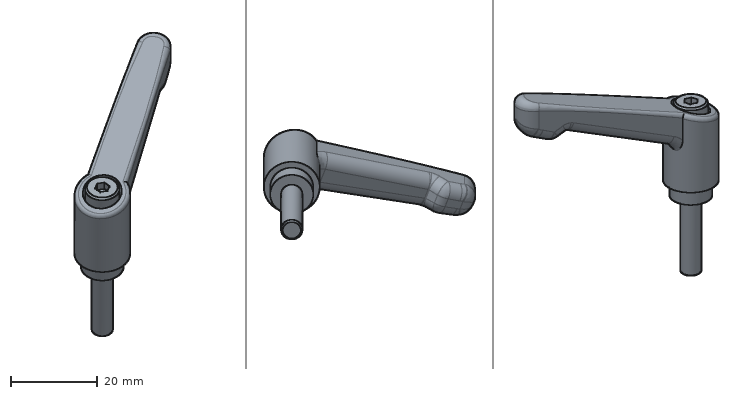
import cadquery as cq
import math


hub_radius = 6.5
hub_top_height = 19.2
top_slope = math.radians(15.4)
hub_edge_fillet = 1.0

arm_reach = 45.0
tip_radius = 4.0
arm_taper = math.radians(1.25)
root_top_fillet = 1.05
tip_side_top_fillet = 1.5
tip_end_top_fillet = 1.9
arm_bottom_fillet = 3.0
edge_tolerance = 0.01

grip_slope = math.radians(21.0)
underside_slope = math.radians(19.45)
grip_nose_radius = 3.1
grip_nose_y = 37.0
grip_nose_z = 22.8
grip_back_slope = math.radians(29.0)
valley_y = 33.3
valley_radius = 0.3
tip_underside_radius = 5.0
root_y = 5.9
root_radius = 2.5
root_bottom = 8.0

insert_radius = 5.0
collar_height = 4.0
insert_depth = 9.0
stud_radius = 2.5
stud_length = 20.0
stud_chamfer = 0.4

head_radius = 4.0
head_top = 20.6
head_edge_chamfer = 0.45
shank_radius = 2.0
shank_engagement = 6.0
hex_across_flats = 3.0
hex_depth = 2.0
head_bore_radius = 4.5
head_seat = 11.0


def top_plane_z(y):
    """Height of the sloped top plane of the lever."""
    return hub_top_height + y * math.tan(top_slope)


def make_hub():
    """Upright cylinder with a sloped, rounded top."""
    blank_height = top_plane_z(hub_radius) + hub_edge_fillet
    blank = cq.Workplane("XY").circle(hub_radius).extrude(blank_height)
    above_top = (
        cq.Workplane("YZ")
        .polyline([
            (-hub_radius, top_plane_z(-hub_radius)),
            (hub_radius, top_plane_z(hub_radius)),
            (hub_radius, blank_height),
            (-hub_radius, blank_height),
        ])
        .close()
        .extrude(hub_radius, both=True)
    )
    return blank.cut(above_top).faces(">Z").edges().fillet(hub_edge_fillet)


def arc_point(center, radius, angle):
    """Point on an arc in the YZ plane, with the angle taken from -Z towards +Y."""
    return (center[0] + radius * math.sin(angle), center[1] - radius * math.cos(angle))


def make_arm_side_shape():
    """Side outline of the arm, extruded across its width."""
    nose = (grip_nose_y, grip_nose_z)
    nose_front = arc_point(nose, grip_nose_radius, grip_slope)
    nose_mid = arc_point(nose, grip_nose_radius, (grip_slope - grip_back_slope) / 2)
    nose_back = arc_point(nose, grip_nose_radius, -grip_back_slope)
    valley_z = nose_back[1] + (nose_back[0] - valley_y) * math.tan(grip_back_slope)

    round_y = arm_reach - tip_underside_radius
    grip_end_y = round_y + tip_underside_radius * math.sin(grip_slope)
    grip_end_z = nose_front[1] + (grip_end_y - nose_front[0]) * math.tan(grip_slope)
    tip_round = (round_y, grip_end_z + tip_underside_radius * math.cos(grip_slope))
    tip_mid = arc_point(tip_round, tip_underside_radius, (grip_slope + math.pi / 2) / 2)

    root_center_y = root_y + root_radius
    root_start_y = root_center_y - root_radius * math.sin(underside_slope)
    root_start_z = valley_z - (valley_y - root_start_y) * math.tan(underside_slope)
    root_center_z = root_start_z - root_radius * math.cos(underside_slope)
    root_mid_angle = (underside_slope + math.pi / 2) / 2
    root_mid = (
        root_center_y - root_radius * math.sin(root_mid_angle),
        root_center_z + root_radius * math.cos(root_mid_angle),
    )

    side_shape = (
        cq.Workplane("YZ")
        .moveTo(0, top_plane_z(0))
        .lineTo(arm_reach, top_plane_z(arm_reach))
        .lineTo(arm_reach, tip_round[1])
        .threePointArc(tip_mid, (grip_end_y, grip_end_z))
        .lineTo(*nose_front)
        .threePointArc(nose_mid, nose_back)
        .lineTo(valley_y, valley_z)
        .lineTo(root_start_y, root_start_z)
        .threePointArc(root_mid, (root_y, root_center_z))
        .lineTo(root_y, root_bottom)
        .lineTo(0, root_bottom)
        .close()
        .extrude(hub_radius, both=True)
    )
    valley_edge = cq.selectors.NearestToPointSelector((0, valley_y, valley_z))
    return side_shape.edges(valley_edge).fillet(valley_radius)


def make_arm_plan_shape():
    """Plan outline of the arm: slightly tapered, with a half-round tip."""
    tip_center_y = arm_reach - tip_radius
    side_end_x = tip_radius * math.cos(arm_taper)
    side_end_y = tip_center_y + tip_radius * math.sin(arm_taper)
    root_half_width = side_end_x + side_end_y * math.tan(arm_taper)
    return (
        cq.Workplane("XY")
        .moveTo(-root_half_width, 0)
        .lineTo(-side_end_x, side_end_y)
        .threePointArc((0, arm_reach), (side_end_x, side_end_y))
        .lineTo(root_half_width, 0)
        .close()
        .extrude(top_plane_z(arm_reach))
    )


def is_top_rim_edge(edge):
    """True for the edges around the sloped top, except the one inside the hub."""
    center = edge.Center()
    box = edge.BoundingBox()
    on_top = center.z > top_plane_z(center.y) - tip_end_top_fillet
    runs_along_arm = box.ylen > tip_end_top_fillet
    return on_top and runs_along_arm


def is_underside_edge(edge):
    """True for the edges along both sides of the underside and around the tip."""
    center = edge.Center()
    box = edge.BoundingBox()
    off_top = center.z < top_plane_z(center.y) - tip_end_top_fillet
    runs_along_arm = box.ylen > edge_tolerance
    at_root = abs(center.y - root_y) < edge_tolerance
    beyond_root = center.y > root_y - edge_tolerance
    on_one_side = abs(center.x) > edge_tolerance
    return off_top and on_one_side and beyond_root and (runs_along_arm or at_root)


def round_top_rim(arm):
    """Fillet the top rim with a radius that grows from the hub to the end of the tip."""
    first_edge = next(edge for edge in arm.edges().vals() if is_top_rim_edge(edge))
    rim_fillet = cq.occ_impl.shapes.BRepFilletAPI_MakeFillet(arm.val().wrapped)
    rim_fillet.Add(first_edge.wrapped)
    contour = 1
    for vertex in arm.vertices().vals():
        if vertex.Z < top_plane_z(vertex.Y) - edge_tolerance:
            continue
        if vertex.Y < edge_tolerance:
            radius = root_top_fillet
        elif vertex.Y > arm_reach - edge_tolerance:
            radius = tip_end_top_fillet
        else:
            radius = tip_side_top_fillet
        rim_fillet.SetRadius(radius, contour, vertex.wrapped)
    return cq.Workplane(cq.Shape.cast(rim_fillet.Shape()).Solids()[0])


def make_arm():
    """Arm with a rounded top rim and a nearly half-round underside."""
    sharp_arm = make_arm_side_shape().intersect(make_arm_plan_shape())
    underside = [edge for edge in sharp_arm.edges().vals() if is_underside_edge(edge)]
    rounded_arm = sharp_arm.newObject(underside).fillet(arm_bottom_fillet)
    return round_top_rim(cq.Workplane(rounded_arm.solids().val()))


def make_lever():
    """Hub and arm as one body, bored for the screw and recessed for the insert."""
    head_bore = (
        cq.Workplane("XY").workplane(offset=head_seat)
        .circle(head_bore_radius).extrude(hub_top_height)
    )
    insert_recess = cq.Workplane("XY").circle(insert_radius).extrude(insert_depth)
    shank_hole = cq.Workplane("XY").circle(shank_radius).extrude(head_seat)
    lever = make_hub().cut(head_bore).union(make_arm().cut(head_bore))
    return lever.cut(insert_recess).cut(shank_hole)


def make_insert():
    """Cylindrical insert with a chamfered stud below and a blind hole for the screw above."""
    insert = (
        cq.Workplane("XY").workplane(offset=-collar_height)
        .circle(insert_radius).extrude(collar_height + insert_depth)
    )
    stud = (
        cq.Workplane("XY").workplane(offset=-collar_height)
        .circle(stud_radius).extrude(-stud_length)
        .faces("<Z").chamfer(stud_chamfer)
    )
    shank_hole = (
        cq.Workplane("XY").workplane(offset=insert_depth)
        .circle(shank_radius).extrude(-shank_engagement)
    )
    return insert.union(stud).cut(shank_hole)


def make_screw():
    """Cylinder head screw with a hexagon socket."""
    head = (
        cq.Workplane("XY").workplane(offset=head_seat)
        .circle(head_radius).extrude(head_top - head_seat)
        .faces(">Z").chamfer(head_edge_chamfer)
    )
    shank = (
        cq.Workplane("XY").workplane(offset=head_seat)
        .circle(shank_radius).extrude(insert_depth - shank_engagement - head_seat)
    )
    hex_across_corners = hex_across_flats / math.cos(math.radians(30))
    socket = (
        cq.Workplane("XY").workplane(offset=head_top)
        .transformed(rotate=(0, 0, 90))
        .polygon(6, hex_across_corners).extrude(-hex_depth)
    )
    return head.union(shank).cut(socket)


lever = make_lever().solids()
insert = make_insert().solids()
screw = make_screw().solids()

result = cq.Compound.makeCompound([lever.val(), insert.val(), screw.val()])